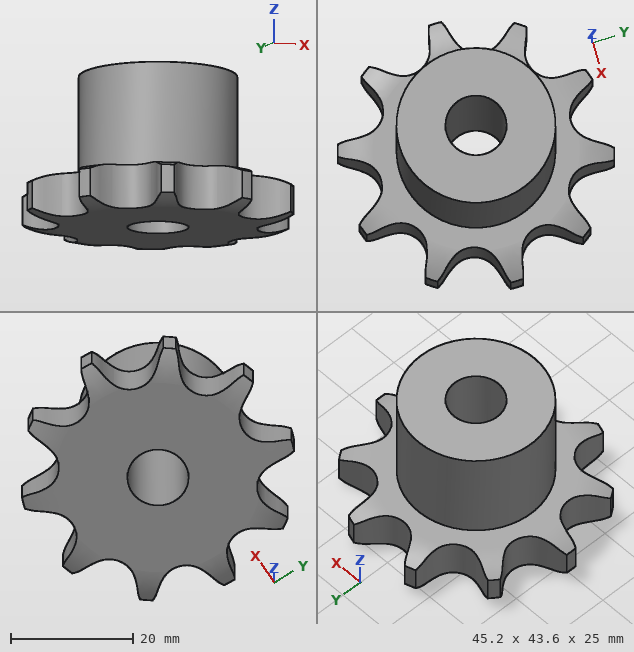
import cadquery as cq
import math

tooth_count = 10
chain_pitch = 12.7
roller_diameter = 8.5
tip_diameter = 45.2
plate_thickness = 7.25
tip_side_relief = 1.3
tip_side_radius = 13.0
hub_diameter = 26.0
total_height = 25.0
bore_diameter = 10.0

tip_radius = tip_diameter / 2
half_pitch_angle = 180 / tooth_count
pitch_radius = chain_pitch / (2 * math.sin(math.radians(half_pitch_angle)))

seat_clearance = 0.05
seat_radius = 0.5025 * roller_diameter + seat_clearance / 2
seat_end_angle = 35 + 60 / tooth_count
working_arc_angle = 18 - 56 / tooth_count
working_center_offset = 0.8 * roller_diameter
working_radius = working_center_offset + seat_radius
topping_center_offset = 1.4 * roller_diameter

topping_arc_angle = 40

seat_center = (0, pitch_radius)


def polar(center, radius, angle):
    """Point at a radius and an angle in degrees about a center."""
    turn = math.radians(angle)
    return (center[0] + radius * math.cos(turn), center[1] + radius * math.sin(turn))


def mirrored(point):
    """Same point on the other side of the gap's center line."""
    return (-point[0], point[1])


def make_blank():
    """Disc whose rim is rounded off toward both faces."""
    flat_radius = tip_radius - math.sqrt(tip_side_radius**2 - (tip_side_radius - tip_side_relief) ** 2)
    relief_angle = math.degrees(math.acos(1 - tip_side_relief / tip_side_radius))
    lower_center = (flat_radius, tip_side_radius)
    upper_center = (flat_radius, plate_thickness - tip_side_radius)
    return (
        cq.Workplane("XZ")
        .lineTo(flat_radius, 0)
        .threePointArc(
            polar(lower_center, tip_side_radius, relief_angle / 2 - 90),
            (tip_radius, tip_side_relief),
        )
        .lineTo(tip_radius, plate_thickness - tip_side_relief)
        .threePointArc(
            polar(upper_center, tip_side_radius, 90 - relief_angle / 2),
            (flat_radius, plate_thickness),
        )
        .lineTo(0, plate_thickness)
        .close()
        .revolve(360, (0, 0), (0, 1))
    )


def make_tooth_gap():
    """Gap on the +Y axis: roller seat, concave flanks, short flats and convex tips."""
    seat_end = polar(seat_center, seat_radius, -seat_end_angle)
    working_center = polar(seat_center, working_center_offset, 180 - seat_end_angle)
    flank_angle = working_arc_angle - seat_end_angle
    working_middle = polar(working_center, working_radius, flank_angle - working_arc_angle / 2)
    working_end = polar(working_center, working_radius, flank_angle)

    topping_center = polar(seat_center, topping_center_offset, -half_pitch_angle)
    flank_turn = math.radians(flank_angle)
    to_center = (topping_center[0] - working_end[0], topping_center[1] - working_end[1])
    topping_radius = to_center[0] * math.cos(flank_turn) + to_center[1] * math.sin(flank_turn)
    topping_start_angle = 180 + flank_angle
    topping_start = polar(topping_center, topping_radius, topping_start_angle)
    topping_middle = polar(topping_center, topping_radius, topping_start_angle - topping_arc_angle / 2)
    topping_end = polar(topping_center, topping_radius, topping_start_angle - topping_arc_angle)

    open_end = (topping_end[0], tip_diameter)
    return (
        cq.Workplane("XY")
        .moveTo(*mirrored(seat_end))
        .threePointArc((0, pitch_radius - seat_radius), seat_end)
        .threePointArc(working_middle, working_end)
        .lineTo(*topping_start)
        .threePointArc(topping_middle, topping_end)
        .lineTo(*open_end)
        .lineTo(*mirrored(open_end))
        .lineTo(*mirrored(topping_end))
        .threePointArc(mirrored(topping_middle), mirrored(topping_start))
        .lineTo(*mirrored(working_end))
        .threePointArc(mirrored(working_middle), mirrored(seat_end))
        .close()
        .extrude(plate_thickness)
    )


sprocket = make_blank()
tooth_gap = make_tooth_gap()
for index in range(tooth_count):
    gap_angle = half_pitch_angle * (2 * index + 1) - 90
    sprocket = sprocket.cut(tooth_gap.rotate((0, 0, 0), (0, 0, 1), gap_angle))

hub = cq.Workplane("XY").circle(hub_diameter / 2).extrude(total_height)
bore = cq.Workplane("XY").circle(bore_diameter / 2).extrude(total_height)
result = sprocket.union(hub).cut(bore)